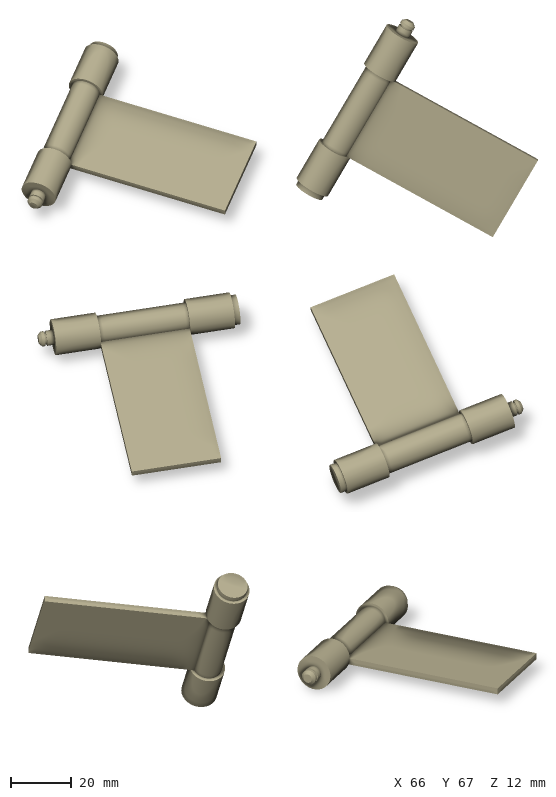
import cadquery as cq

sleeve_diameter = 12.0
barrel_diameter = 9.8
pin_diameter = 5.0
barrel_length = 30.0
sleeve_length = barrel_length / 2
overall_width = 66.0
plate_thickness = 2.2

head_diameter = 10.0
head_thickness = 2.0
pin_projection = 4.95
groove_diameter = 4.0
groove_width = 0.6
groove_to_tip = 2.0
tip_chamfer = 1.0

barrel_end = barrel_length / 2
sleeve_end = barrel_end + sleeve_length
tip_y = -sleeve_end - pin_projection
plate_end_x = overall_width - sleeve_diameter / 2


def cylinder(diameter, start_y, length):
    """Cylinder on the hinge axis, running toward +Y from start_y."""
    start_plane = cq.Plane(origin=(0, start_y, 0), xDir=(1, 0, 0), normal=(0, 1, 0))
    return cq.Workplane(start_plane).circle(diameter / 2).extrude(length)


def bore_for_pin(body, start_y, length):
    """Open a through hole along the hinge axis that fits the pin."""
    return body.cut(cylinder(pin_diameter, start_y, length))


def make_leaf():
    """Barrel with a flat plate whose top face lies level with the hinge axis."""
    plate = cq.Workplane("XY").box(
        plate_end_x, barrel_length, plate_thickness, centered=(False, True, False)
    ).translate((0, 0, -plate_thickness))
    barrel = cylinder(barrel_diameter, -barrel_end, barrel_length)
    return bore_for_pin(barrel.union(plate), -barrel_end, barrel_length)


def make_sleeve(start_y):
    """Plain sleeve on the pin, butting against one end of the barrel."""
    sleeve = cylinder(sleeve_diameter, start_y, sleeve_length)
    return bore_for_pin(sleeve, start_y, sleeve_length)


def make_pin():
    """Headed pin with a chamfered tip and a retaining groove near it."""
    shank = cylinder(pin_diameter, tip_y, sleeve_end - tip_y).faces("<Y").chamfer(tip_chamfer)
    groove_start = tip_y + groove_to_tip
    groove_ring = cylinder(pin_diameter, groove_start, groove_width).cut(
        cylinder(groove_diameter, groove_start, groove_width)
    )
    head = cylinder(head_diameter, sleeve_end, head_thickness)
    return shank.cut(groove_ring).union(head)


leaf = make_leaf()
pin = make_pin()
sleeves = []
for sleeve_start in (-sleeve_end, barrel_end):
    sleeves.append(make_sleeve(sleeve_start).val())

result = cq.Compound.makeCompound([leaf.val(), pin.val(), *sleeves])